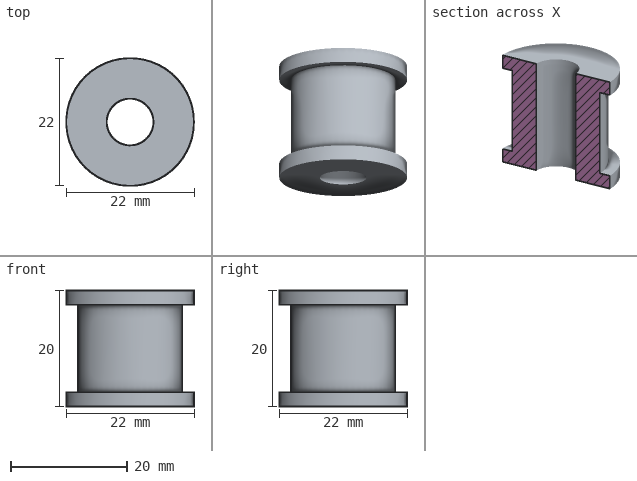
import cadquery as cq

flange_diameter = 22.0
core_diameter = 17.96
bore_diameter = 8.0
overall_height = 20.0
flange_thickness = 2.5

core_height = overall_height - 2 * flange_thickness


def make_disc(diameter, height, base_z):
    """Solid cylinder on the Z axis, standing on base_z."""
    return cq.Workplane("XY").workplane(offset=base_z).circle(diameter / 2).extrude(height)


spool = make_disc(core_diameter, core_height, flange_thickness)
for flange_base in (0, overall_height - flange_thickness):
    spool = spool.union(make_disc(flange_diameter, flange_thickness, flange_base))

bore = make_disc(bore_diameter, overall_height, 0)

result = spool.cut(bore)